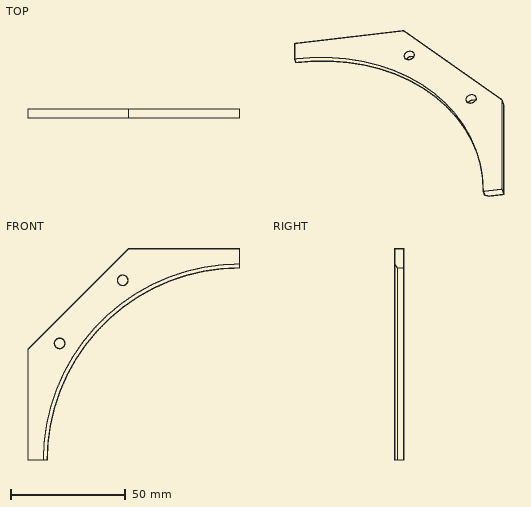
import cadquery as cq
import math

SIDE = 92.5
THICKNESS = 4.0
CORNER_CUT = 43.9
ARC_RADIUS = 84.05
CHAMFER_WIDTH = 1.75
CHAMFER_DEPTH = 1.18
HOLE_DIAMETER = 4.5
HOLE_CIRCLE_RADIUS = 93.8
HOLE_HALF_ANGLE = 12.0

DIAGONAL_ANGLE = 135.0


def make_blank():
    """Square plate with the outer corner cut off, front face at Y = 0."""
    outline = [
        (0, 0),
        (0, SIDE),
        (CORNER_CUT - SIDE, SIDE),
        (-SIDE, SIDE - CORNER_CUT),
        (-SIDE, 0),
    ]
    return cq.Workplane("XZ").polyline(outline).close().extrude(-THICKNESS)


def make_chamfered_bore():
    """Round bore about the Y axis, widened by a chamfer at the front face."""
    profile = [
        (0, 0),
        (ARC_RADIUS + CHAMFER_WIDTH, 0),
        (ARC_RADIUS, CHAMFER_DEPTH),
        (ARC_RADIUS, THICKNESS),
        (0, THICKNESS),
    ]
    return cq.Workplane("XY").polyline(profile).close().revolve(360, (0, 0, 0), (0, 1, 0))


def make_holes():
    """Two through holes, placed symmetrically about the diagonal."""
    centres = []
    for side in (-1, 1):
        angle = math.radians(DIAGONAL_ANGLE + side * HOLE_HALF_ANGLE)
        centres.append((HOLE_CIRCLE_RADIUS * math.cos(angle), HOLE_CIRCLE_RADIUS * math.sin(angle)))
    return cq.Workplane("XZ").pushPoints(centres).circle(HOLE_DIAMETER / 2).extrude(-THICKNESS)


result = make_blank().cut(make_chamfered_bore()).cut(make_holes())